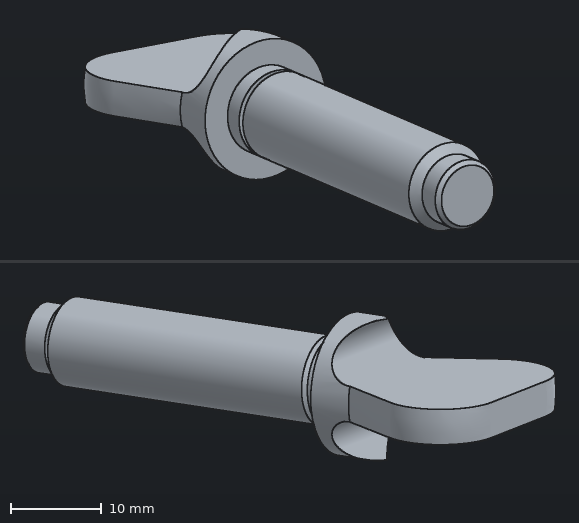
import cadquery as cq
import math

length = 62.0
wing_width = 24.85
wing_thickness = 4.0
lobe_radius = 6.5

collar_radius = 8.0
collar_start = 17.05
collar_end = 21.95

shaft_radius = 5.0
groove_radius = 3.95
groove_start = 24.25
groove_end = 25.0

tip_radius = 3.95
tip_start = 58.9
tip_chamfer = 0.5
shoulder_chamfer = shaft_radius - tip_radius


def arc_point(center, radius, angle):
    return (center[0] + radius * math.cos(angle), center[1] + radius * math.sin(angle))


def turned_body():
    """Half outline in X and radius, revolved about X."""
    lobe_center = (lobe_radius, wing_width / 2 - lobe_radius)
    run = collar_start - lobe_center[0]
    rise = collar_radius - lobe_center[1]
    tangent_angle = math.atan2(rise, run) + math.acos(lobe_radius / math.hypot(run, rise))
    outline = (
        cq.Workplane("XY")
        .moveTo(0, 0)
        .lineTo(0, lobe_center[1])
        .threePointArc(
            arc_point(lobe_center, lobe_radius, math.pi / 2),
            arc_point(lobe_center, lobe_radius, tangent_angle),
        )
        .lineTo(collar_start, collar_radius)
        .lineTo(collar_end, collar_radius)
        .lineTo(collar_end, shaft_radius)
        .lineTo(groove_start, shaft_radius)
        .lineTo(groove_start, groove_radius)
        .lineTo(groove_end, shaft_radius)
        .lineTo(tip_start - shoulder_chamfer, shaft_radius)
        .lineTo(tip_start, tip_radius)
        .lineTo(length - tip_chamfer, tip_radius)
        .lineTo(length, tip_radius - tip_chamfer)
        .lineTo(length, 0)
        .close()
    )
    return outline.revolve(360, (0, 0, 0), (1, 0, 0))


def wing_relief():
    """Material above the flat wing, ending in a half-round hollow in the collar."""
    bottom = wing_thickness / 2
    hollow_radius = (collar_radius - bottom) / 2
    clear_height = wing_width
    return (
        cq.Workplane("XZ")
        .moveTo(0, bottom)
        .lineTo(collar_start, bottom)
        .threePointArc(
            (collar_start + hollow_radius, bottom + hollow_radius),
            (collar_start, collar_radius),
        )
        .lineTo(collar_start, clear_height)
        .lineTo(0, clear_height)
        .close()
        .extrude(wing_width, both=True)
    )


relief = wing_relief()
result = turned_body().cut(relief).cut(relief.mirror("XY"))